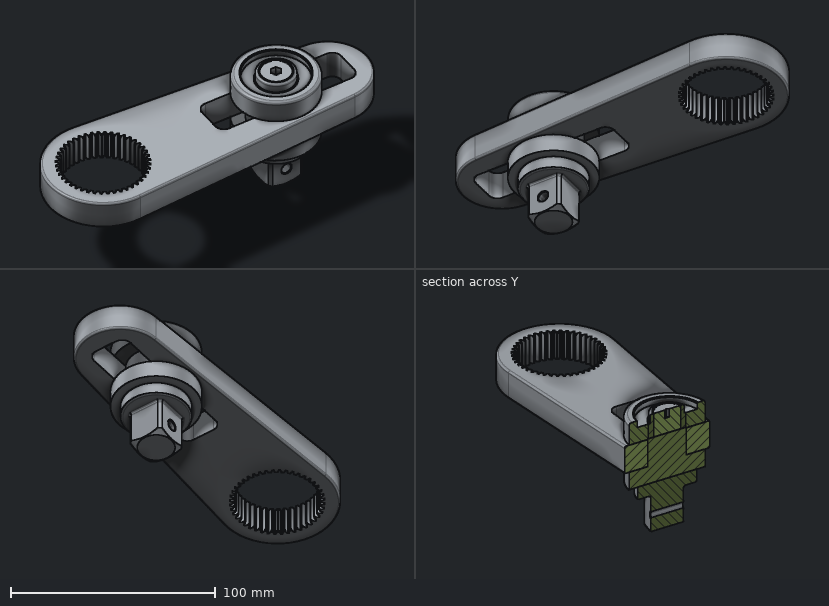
import cadquery as cq
import math

ARM_LENGTH = 183.4
ARM_WIDTH = 61.8
ARM_THICKNESS = 15.4
ARM_EDGE_FILLET = 1.1
BIG_END_RADIUS = ARM_WIDTH / 2
SMALL_END_RADIUS = 22.7
END_SPACING = ARM_LENGTH - BIG_END_RADIUS - SMALL_END_RADIUS

TOOTH_COUNT = 44
TOOTH_TIP_RADIUS = 21.0
TOOTH_ROOT_RADIUS = 23.3
TOOTH_TIP_WIDTH = 0.5
TOOTH_SPACE_ROOT_WIDTH = 0.7
TOOTH_CHAMFER = 0.7
TOOTH_PITCH_ANGLE = 360.0 / TOOTH_COUNT
FIRST_SPACE_ANGLE = -1.8

SLOT_WIDTH = 22.0
SLOT_NEAR_END = 61.0
SLOT_FAR_END = 141.2
SLOT_LENGTH = SLOT_FAR_END - SLOT_NEAR_END
SLOT_CENTRE_Y = (SLOT_NEAR_END + SLOT_FAR_END) / 2
SLOT_CORNER_RADIUS = 5.0

AXIS_Y = 100.0
PUCK_RADIUS = 22.4

PUCK_HEIGHT = 12.1
PUCK_FILLET = 1.7
PUCK_TOP = ARM_THICKNESS + PUCK_HEIGHT
RECESS_RADIUS = 17.5
RECESS_DEPTH = 3.7
RECESS_FLOOR = PUCK_TOP - RECESS_DEPTH
EDGE_BREAK = 0.5

BORE_RADIUS = SLOT_WIDTH / 2
SLEEVE_RADIUS = 10.3
SLEEVE_RISE = 1.3
SLEEVE_TOP = PUCK_TOP + SLEEVE_RISE
SLEEVE_HEIGHT = SLEEVE_TOP - ARM_THICKNESS
SLEEVE_FILLET = 1.1

SCREW_RADIUS = 8.0
SCREW_HEIGHT = SLEEVE_HEIGHT
HEX_ACROSS_FLATS = 5.1
HEX_DEPTH = 4.5

COLLAR_HEIGHT = 9.7
NECK_RADIUS = 15.0

FLANGE_RADIUS = 17.5
FLANGE_HEIGHT = 7.0
FLANGE_TOP = -COLLAR_HEIGHT
FLANGE_BOTTOM = FLANGE_TOP - FLANGE_HEIGHT
UNIT_HEIGHT = 65.5
DRIVE_BOTTOM = SLEEVE_TOP - UNIT_HEIGHT
SQUARE_SIZE = 19.3
SQUARE_LENGTH = FLANGE_BOTTOM - DRIVE_BOTTOM
SQUARE_CORNER_RADIUS = 12.56
SQUARE_BASE_FILLET = 1.1
SQUARE_END_CHAMFER_HEIGHT = 1.8
SQUARE_END_CHAMFER_WIDTH = 3.3
SELECTION_MARGIN = 0.2
CROSS_HOLE_RADIUS = 2.8
CROSS_HOLE_CHAMFER = 0.4
CROSS_HOLE_ABOVE_END = 9.5


def axis_plane(z):
    """Horizontal workplane at height z, centred on the drive unit's axis."""
    return cq.Workplane("XY", origin=(0, AXIS_Y, z))


def revolve_about_axis(profile):
    """Full turn of (radius, z) points about the drive unit's axis."""
    plane = cq.Workplane("XZ", origin=(0, AXIS_Y, 0))
    return plane.polyline(profile).close().revolve(360, (0, 0), (0, 1))


def make_tapered_plate():
    """Two round ends joined by their common tangents."""
    tilt = math.asin((BIG_END_RADIUS - SMALL_END_RADIUS) / END_SPACING)
    big_x = BIG_END_RADIUS * math.cos(tilt)
    big_y = BIG_END_RADIUS * math.sin(tilt)
    small_x = SMALL_END_RADIUS * math.cos(tilt)
    small_y = END_SPACING + SMALL_END_RADIUS * math.sin(tilt)
    plate = (
        cq.Workplane("XY")
        .moveTo(big_x, big_y)
        .lineTo(small_x, small_y)
        .threePointArc((0, END_SPACING + SMALL_END_RADIUS), (-small_x, small_y))
        .lineTo(-big_x, big_y)
        .threePointArc((0, -BIG_END_RADIUS), (big_x, big_y))
        .close()
        .extrude(ARM_THICKNESS)
    )
    return plate.faces("<Z or >Z").edges().fillet(ARM_EDGE_FILLET)


def make_toothed_cutter():
    """Internal-gear hole: straight-flanked spaces between narrow teeth."""
    half_pitch = math.radians(TOOTH_PITCH_ANGLE) / 2
    half_mouth = half_pitch - TOOTH_TIP_WIDTH / 2 / TOOTH_TIP_RADIUS
    half_root = TOOTH_SPACE_ROOT_WIDTH / 2 / TOOTH_ROOT_RADIUS
    corners = [
        (TOOTH_TIP_RADIUS, -half_mouth),
        (TOOTH_ROOT_RADIUS, -half_root),
        (TOOTH_ROOT_RADIUS, half_root),
        (TOOTH_TIP_RADIUS, half_mouth),
    ]
    points = []
    for index in range(TOOTH_COUNT):
        middle = math.radians(FIRST_SPACE_ANGLE + index * TOOTH_PITCH_ANGLE)
        for radius, offset in corners:
            angle = middle + offset
            points.append((radius * math.cos(angle), radius * math.sin(angle)))
    return cq.Workplane("XY").polyline(points).close().extrude(ARM_THICKNESS)


def make_tooth_chamfer_cutters():
    """Cones that bevel the tooth tips at both mouths of the toothed hole."""
    mouth_radius = TOOTH_TIP_RADIUS + TOOTH_CHAMFER
    lower = cq.Solid.makeCone(mouth_radius, TOOTH_TIP_RADIUS, TOOTH_CHAMFER)
    upper = lower.mirror("XY").translate(cq.Vector(0, 0, ARM_THICKNESS))
    return [lower, upper]


def make_slot_cutter():
    return (
        cq.Workplane("XY", origin=(0, SLOT_CENTRE_Y, 0))
        .rect(SLOT_WIDTH, SLOT_LENGTH)
        .extrude(ARM_THICKNESS)
        .edges("|Z")
        .fillet(SLOT_CORNER_RADIUS)
    )


def make_arm():
    arm = make_tapered_plate().cut(make_toothed_cutter()).cut(make_slot_cutter())
    for cone in make_tooth_chamfer_cutters():
        arm = arm.cut(cone)
    return arm


def make_puck():
    """Disc with a rounded top rim, a chamfered recess and a through bore."""
    profile = [
        (BORE_RADIUS, ARM_THICKNESS),
        (PUCK_RADIUS, ARM_THICKNESS),
        (PUCK_RADIUS, PUCK_TOP),
        (RECESS_RADIUS + EDGE_BREAK, PUCK_TOP),
        (RECESS_RADIUS, PUCK_TOP - EDGE_BREAK),
        (RECESS_RADIUS, RECESS_FLOOR),
        (BORE_RADIUS, RECESS_FLOOR),
    ]
    puck = revolve_about_axis(profile)
    outer_rim = puck.faces(">Z").edges(cq.selectors.RadiusNthSelector(-1))
    return outer_rim.fillet(PUCK_FILLET)


def make_sleeve():
    """Stepped tube with a rounded outer rim and a chamfered inner rim."""
    profile = [
        (SCREW_RADIUS, ARM_THICKNESS),
        (BORE_RADIUS, ARM_THICKNESS),
        (BORE_RADIUS, RECESS_FLOOR),
        (SLEEVE_RADIUS, RECESS_FLOOR),
        (SLEEVE_RADIUS, SLEEVE_TOP),
        (SCREW_RADIUS + EDGE_BREAK, SLEEVE_TOP),
        (SCREW_RADIUS, SLEEVE_TOP - EDGE_BREAK),
    ]
    sleeve = revolve_about_axis(profile)
    outer_rim = sleeve.faces(">Z").edges(cq.selectors.RadiusNthSelector(-1))
    return outer_rim.fillet(SLEEVE_FILLET)


def make_screw():
    """Plug with a hexagonal socket whose corners point along Y."""
    screw = axis_plane(ARM_THICKNESS).circle(SCREW_RADIUS).extrude(SCREW_HEIGHT)
    hexagon_diameter = HEX_ACROSS_FLATS / math.cos(math.pi / 6)
    socket = (
        axis_plane(ARM_THICKNESS + SCREW_HEIGHT - HEX_DEPTH)
        .transformed(rotate=(0, 0, 90))
        .polygon(6, hexagon_diameter)
        .extrude(HEX_DEPTH)
    )
    return screw.cut(socket)


def make_collar():
    """Disc below the arm with a neck flatted to fit the slot's width."""
    disc = axis_plane(-COLLAR_HEIGHT).circle(PUCK_RADIUS).extrude(COLLAR_HEIGHT)
    neck = axis_plane(0).circle(NECK_RADIUS).extrude(ARM_THICKNESS)
    flats = axis_plane(0).rect(SLOT_WIDTH, 2 * NECK_RADIUS).extrude(ARM_THICKNESS)
    return disc.union(neck.intersect(flats))


def make_cross_hole():
    """Hole along X through the square, chamfered at both mouths."""
    half = SQUARE_SIZE / 2
    mouth_radius = CROSS_HOLE_RADIUS + CROSS_HOLE_CHAMFER
    profile = [
        (-half, 0),
        (-half, mouth_radius),
        (-half + CROSS_HOLE_CHAMFER, CROSS_HOLE_RADIUS),
        (half - CROSS_HOLE_CHAMFER, CROSS_HOLE_RADIUS),
        (half, mouth_radius),
        (half, 0),
    ]
    plane = axis_plane(DRIVE_BOTTOM + CROSS_HOLE_ABOVE_END)
    return plane.polyline(profile).close().revolve(360, (0, 0), (1, 0))


def make_drive():
    """Flange with a hanging square whose corners are turned down to a cylinder."""
    flange = (
        axis_plane(FLANGE_BOTTOM)
        .circle(FLANGE_RADIUS)
        .extrude(FLANGE_HEIGHT)
        .faces("<Z")
        .edges()
        .chamfer(EDGE_BREAK)
    )
    square = axis_plane(DRIVE_BOTTOM).rect(SQUARE_SIZE, SQUARE_SIZE).extrude(SQUARE_LENGTH)
    turned = (
        axis_plane(DRIVE_BOTTOM)
        .circle(SQUARE_CORNER_RADIUS)
        .extrude(SQUARE_LENGTH)
        .faces("<Z")
        .edges()
        .chamfer(SQUARE_END_CHAMFER_HEIGHT, SQUARE_END_CHAMFER_WIDTH)
    )
    drive = flange.union(square.intersect(turned))
    half_base = SQUARE_SIZE / 2 + SELECTION_MARGIN
    square_base_edges = cq.selectors.BoxSelector(
        (-half_base, AXIS_Y - half_base, FLANGE_BOTTOM - SELECTION_MARGIN),
        (half_base, AXIS_Y + half_base, FLANGE_BOTTOM + SELECTION_MARGIN),
    )
    drive = drive.edges(square_base_edges).fillet(SQUARE_BASE_FILLET)
    return drive.cut(make_cross_hole())


arm = make_arm()
puck = make_puck()
sleeve = make_sleeve()
screw = make_screw()
collar = make_collar()
drive = make_drive()

result = cq.Compound.makeCompound(
    [arm.val(), puck.val(), sleeve.val(), screw.val(), collar.val(), drive.val()]
)